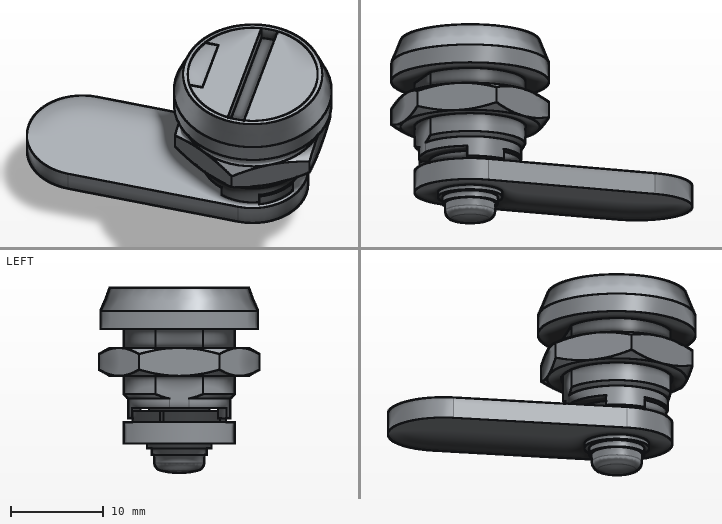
import cadquery as cq
import math


TOTAL_LENGTH = 33.5
TOTAL_HEIGHT = 20.0

HEAD_RADIUS = 8.5
HEAD_TOP_RADIUS = 7.5
HEAD_HEIGHT = 4.5
HEAD_TAPER_HEIGHT = 2.5
THREAD_RADIUS = 6.0
THREAD_END_Z = -11.5
NOSE_RADIUS = 5.53
NOSE_END_Z = -13.0
FLAT_OFFSET = 5.43
TAB_HEIGHT = 1.1
TAB_INNER_RADIUS = 4.5
THREAD_CHAMFER = THREAD_RADIUS - NOSE_RADIUS

NUT_ACROSS_FLATS = 15.0
NUT_TOP_Z = -6.5
NUT_THICKNESS = 3.0
NUT_CHAMFER_ANGLE = 30.0

FACE_RADIUS = 7.0
FACE_THICKNESS = 3.0
SHAFT_RADIUS = 3.28
STOP_TOP_Z = -13.3
STOP_RADIUS = 4.4
WING_RADIUS = 5.45
SPIGOT_RADIUS = 3.5
SPIGOT_END_Z = -17.32
COLLAR_RADIUS = 2.98
COLLAR_END_Z = -18.02
TIP_TOP_RADIUS = 2.75
TIP_END_RADIUS = 2.68
DOME_RADIUS = 7.55
DOME_CORNER_RADIUS = 0.9
SLOT_WIDTH = 1.8
SLOT_DEPTH = 1.5
MARK_INNER_OFFSET = 4.72
MARK_LENGTH = 6.55
MARK_DEPTH = 0.07

SECTOR_ANGLE = 45.0
TAB_DIRECTIONS = (90.0, 270.0)
WING_DIRECTIONS = (135.0, 315.0)

CAM_WIDTH = 12.0
CAM_TOP_Z = -14.5
CAM_THICKNESS = 2.3


def disc(radius, top, bottom):
    """Cylinder on the lock axis between two levels."""
    return cq.Workplane("XY").workplane(offset=bottom).circle(radius).extrude(top - bottom)


def sector(radius, direction, top, bottom):
    """Wedge of a disc, SECTOR_ANGLE wide, with its middle pointing along direction (degrees)."""

    def rim(angle):
        angle = math.radians(angle)
        return radius * math.cos(angle), radius * math.sin(angle)

    half = SECTOR_ANGLE / 2
    return (
        cq.Workplane("XY")
        .workplane(offset=bottom)
        .lineTo(*rim(direction - half))
        .threePointArc(rim(direction), rim(direction + half))
        .close()
        .extrude(top - bottom)
    )


def make_housing():
    head = (
        cq.Workplane("XZ")
        .moveTo(0, 0)
        .lineTo(HEAD_TOP_RADIUS, 0)
        .lineTo(HEAD_RADIUS, -HEAD_TAPER_HEIGHT)
        .lineTo(HEAD_RADIUS, -HEAD_HEIGHT)
        .lineTo(0, -HEAD_HEIGHT)
        .close()
        .revolve(360, (0, 0), (0, 1))
    )
    barrel = disc(THREAD_RADIUS, -HEAD_HEIGHT, THREAD_END_Z - THREAD_CHAMFER)
    barrel = barrel.faces("<Z").chamfer(THREAD_CHAMFER)

    tab_end = NOSE_END_Z - TAB_HEIGHT
    tab_gaps = disc(THREAD_RADIUS, NOSE_END_Z, tab_end)
    tab_bore = disc(TAB_INNER_RADIUS, NOSE_END_Z, tab_end)
    for direction in TAB_DIRECTIONS:
        tab_gaps = tab_gaps.cut(sector(2 * THREAD_RADIUS, direction, NOSE_END_Z, tab_end))
    nose = disc(NOSE_RADIUS, -HEAD_HEIGHT, tab_end).cut(tab_gaps).cut(tab_bore)
    barrel = barrel.union(nose)

    flats = cq.Workplane("XY").box(2 * FLAT_OFFSET, 2 * HEAD_RADIUS, 2 * TOTAL_HEIGHT)
    housing = head.union(barrel.intersect(flats))

    housing = housing.cut(disc(FACE_RADIUS, 0, -FACE_THICKNESS))
    return housing.cut(disc(SHAFT_RADIUS, 0, NOSE_END_Z))


def make_nut():
    bottom = NUT_TOP_Z - NUT_THICKNESS
    flat_radius = NUT_ACROSS_FLATS / 2
    corner_radius = flat_radius / math.cos(math.pi / 6)
    chamfer_drop = (corner_radius - flat_radius) * math.tan(math.radians(NUT_CHAMFER_ANGLE))
    hexagon = (
        cq.Workplane("XY")
        .workplane(offset=bottom)
        .transformed(rotate=(0, 0, 90))
        .polygon(6, 2 * corner_radius)
        .extrude(NUT_THICKNESS)
    )
    blank = (
        cq.Workplane("XZ")
        .moveTo(0, NUT_TOP_Z)
        .lineTo(flat_radius, NUT_TOP_Z)
        .lineTo(corner_radius, NUT_TOP_Z - chamfer_drop)
        .lineTo(corner_radius, bottom + chamfer_drop)
        .lineTo(flat_radius, bottom)
        .lineTo(0, bottom)
        .close()
        .revolve(360, (0, 0), (0, 1))
    )
    return hexagon.intersect(blank).cut(disc(THREAD_RADIUS, NUT_TOP_Z, bottom))


def make_tip():
    """Slightly tapered end of the core, closed by a shallow dome with a rounded corner."""

    def dome_point(radius):
        return radius, -TOTAL_HEIGHT + DOME_RADIUS - math.sqrt(DOME_RADIUS**2 - radius**2)

    tip = (
        cq.Workplane("XZ")
        .moveTo(0, COLLAR_END_Z)
        .lineTo(TIP_TOP_RADIUS, COLLAR_END_Z)
        .lineTo(*dome_point(TIP_END_RADIUS))
        .threePointArc(dome_point(TIP_END_RADIUS / 2), dome_point(0))
        .close()
        .revolve(360, (0, 0), (0, 1))
    )
    return tip.faces("<Z").edges("%CIRCLE").edges(">Z").fillet(DOME_CORNER_RADIUS)


def make_core():
    core = disc(FACE_RADIUS, 0, -FACE_THICKNESS)
    core = core.union(disc(SHAFT_RADIUS, 0, STOP_TOP_Z))
    core = core.union(disc(STOP_RADIUS, STOP_TOP_Z, CAM_TOP_Z))
    for direction in WING_DIRECTIONS:
        core = core.union(sector(WING_RADIUS, direction, STOP_TOP_Z, CAM_TOP_Z))
    core = core.union(disc(SPIGOT_RADIUS, CAM_TOP_Z, SPIGOT_END_Z))

    core = core.union(disc(COLLAR_RADIUS, SPIGOT_END_Z, COLLAR_END_Z))
    core = core.union(make_tip())

    slot = cq.Workplane("XY").box(SLOT_WIDTH, 2 * FACE_RADIUS, 2 * SLOT_DEPTH)
    core = core.cut(slot)

    mark = cq.Workplane("XY").box(FACE_RADIUS, MARK_LENGTH, 2 * MARK_DEPTH)
    return core.cut(mark.translate((-MARK_INNER_OFFSET - FACE_RADIUS / 2, 0, 0)))


def make_cam():
    end_radius = CAM_WIDTH / 2
    tip_centre_x = HEAD_RADIUS - TOTAL_LENGTH + end_radius
    bottom = CAM_TOP_Z - CAM_THICKNESS
    cam = (
        cq.Workplane("XY")
        .workplane(offset=bottom)
        .center(tip_centre_x / 2, 0)
        .slot2D(CAM_WIDTH - tip_centre_x, CAM_WIDTH)
        .extrude(CAM_THICKNESS)
    )
    return cam.cut(disc(SPIGOT_RADIUS, CAM_TOP_Z, bottom))


housing = make_housing()
nut = make_nut()
core = make_core()
cam = make_cam()

result = cq.Compound.makeCompound([housing.val(), nut.val(), core.val(), cam.val()])